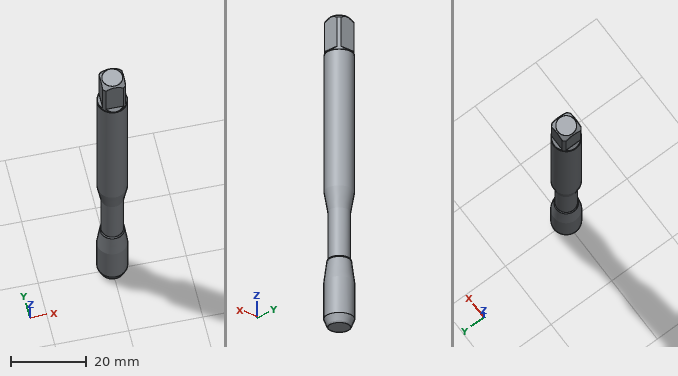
import cadquery as cq

total_length = 90.1
shank_diameter = 8.1
neck_diameter = 6.0
thread_diameter = 8.2
collar_diameter = 6.6
lead_tip_diameter = 6.6
tip_diameter = 6.0

lead_length = 2.4
thread_top = 13.0
collar_height = 19.2
neck_top = 33.6
shank_start = 39.55
shank_end = 79.5

collar_bevel = 0.45
head_top = collar_height + collar_bevel
tip_bevel = 0.4

square_width = 6.2
square_corner_diameter = 7.8
square_start = 80.5
square_tip_diameter = 5.5

slope_width = shank_diameter
slope_height = (slope_width - square_width) / 2
slope_start = square_start - slope_height
shoulder_height = (shank_diameter - square_corner_diameter) / 2
square_chamfer = (square_corner_diameter - square_tip_diameter) / 2


def revolve_profile(points):
    """Revolve an (r, z) outline about the Z axis."""
    return cq.Workplane("XZ").polyline(points).close().revolve(360, (0, 0), (0, 1))


def make_square_envelope():
    """Prism for the drive flats, widening through four slopes to the full shank below."""
    lower = (
        cq.Workplane("XY")
        .workplane(offset=head_top)
        .rect(slope_width, slope_width)
        .extrude(slope_start - head_top)
    )
    slopes = (
        cq.Workplane("XY")
        .workplane(offset=slope_start)
        .rect(slope_width, slope_width)
        .workplane(offset=slope_height)
        .rect(square_width, square_width)
        .loft(ruled=True)
    )
    flats = (
        cq.Workplane("XY")
        .workplane(offset=square_start)
        .rect(square_width, square_width)
        .extrude(total_length - square_start)
    )
    return lower.union(slopes).union(flats)


def make_shank():
    """Neck, conical transition and round shank ending in the chamfered driving square."""
    round_body = revolve_profile([
        (0, head_top),
        (neck_diameter / 2, head_top),
        (neck_diameter / 2, neck_top),
        (shank_diameter / 2, shank_start),
        (shank_diameter / 2, shank_end),
        (square_corner_diameter / 2, shank_end + shoulder_height),
        (square_corner_diameter / 2, total_length - square_chamfer),
        (square_tip_diameter / 2, total_length),
        (0, total_length),
    ])
    return round_body.intersect(make_square_envelope())


def make_thread_head():
    """Thread section with a lead taper at the tip and a cone towards the neck."""
    return revolve_profile([
        (0, 0),
        (tip_diameter / 2, 0),
        (lead_tip_diameter / 2, tip_bevel),
        (thread_diameter / 2, lead_length),
        (thread_diameter / 2, thread_top),
        (collar_diameter / 2, collar_height),
        (neck_diameter / 2, head_top),
        (0, head_top),
    ])


shank = make_shank()
thread_head = make_thread_head()

result = cq.Compound.makeCompound([shank.val(), thread_head.val()])